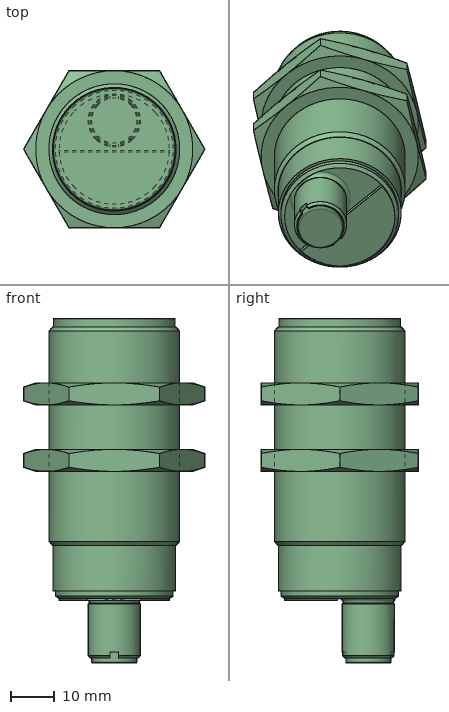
import cadquery as cq
import math

total_height = 79.0
barrel_dia = 30.0
barrel_bottom = 27.9
barrel_top = 76.1
thread_root_dia = 28.4
thread_chamfer = 0.95
cap_dia = 28.0
cap_rounding = 0.2
sleeve_dia = 28.2
sleeve_bottom = 16.5

plug_dia = 27.0
plug_chamfer_top = 15.3
plug_face = 14.8
plug_face_dia = 25.3
pad_height = 0.4
pad_edge_slope = 0.3
pad_edge_y = -0.3

connector_y = 6.55
connector_dia = 12.0
connector_shoulder = 13.5
neck_dia = 11.5
neck_bottom = connector_shoulder + (connector_dia - neck_dia) / 2
flare_radius = plug_face - neck_bottom
tip_dia = 10.35
tip_height = 1.1
tip_rounding = 0.2
connector_chamfer_top = 1.65
key_width = 2.05
key_top = 2.5

nut_across_flats = 36.0
nut_across_corners = nut_across_flats / math.cos(math.radians(30))
nut_height = 5.05
nut_corner_chamfer = 0.95
nut_pitch = 15.25
lower_nut_bottom = 43.9
nut_count = 2


def turned(profile):
    """Revolve (radius, z) points, closed along the axis, about Z."""
    points = [(0, profile[0][1]), *profile, (0, profile[-1][1])]
    return cq.Workplane("XZ").polyline(points).close().revolve(360, (0, 0, 0), (0, 1, 0))


def make_barrel():
    barrel_radius = barrel_dia / 2
    root_radius = thread_root_dia / 2
    barrel = turned(
        [
            (plug_face_dia / 2, plug_face),
            (plug_dia / 2, plug_chamfer_top),
            (plug_dia / 2, sleeve_bottom),
            (sleeve_dia / 2, sleeve_bottom),
            (sleeve_dia / 2, barrel_bottom - thread_chamfer),
            (root_radius, barrel_bottom - thread_chamfer),
            (barrel_radius, barrel_bottom),
            (barrel_radius, barrel_top),
            (root_radius, barrel_top + thread_chamfer),
            (cap_dia / 2, barrel_top + thread_chamfer),
            (cap_dia / 2, total_height),
        ]
    )
    return barrel.faces(">Z").edges().fillet(cap_rounding)


def make_pad():
    """Low raised pad on the -Y half of the plug face, with a sloped straight edge."""
    pad_radius = plug_face_dia / 2
    pad_bottom = plug_face - pad_height
    disc = cq.Workplane("XY").workplane(offset=pad_bottom).circle(pad_radius).extrude(pad_height)
    half = (
        cq.Workplane("YZ")
        .moveTo(pad_edge_y, plug_face)
        .lineTo(pad_edge_y - pad_edge_slope, pad_bottom)
        .lineTo(-pad_radius, pad_bottom)
        .lineTo(-pad_radius, plug_face)
        .close()
        .extrude(pad_radius, both=True)
    )
    return disc.intersect(half)


def make_key_slots():
    """Slots in the -Y and +Y sides of the connector, as deep as the tip is set back."""
    slot = cq.Workplane("XY").box(key_width, connector_dia, key_top, centered=(True, True, False))
    tip_core = cq.Workplane("XY").circle(tip_dia / 2).extrude(key_top)
    return slot.cut(tip_core)


def make_connector():
    connector = turned(
        [
            (tip_dia / 2, 0),
            (tip_dia / 2, tip_height),
            (connector_dia / 2 - (connector_chamfer_top - tip_height), tip_height),
            (connector_dia / 2, connector_chamfer_top),
            (connector_dia / 2, connector_shoulder),
            (neck_dia / 2, neck_bottom),
            (neck_dia / 2, plug_chamfer_top),
        ]
    )
    connector = connector.faces("<Z").edges().fillet(tip_rounding)
    return connector.cut(make_key_slots()).translate((0, connector_y, 0))


def make_neck_flare():
    """Concave flare from the connector neck to the plug face, kept within the face's rim."""
    neck_radius = neck_dia / 2
    arc_mid_offset = flare_radius * math.sqrt(0.5)
    arc_mid = (neck_radius + flare_radius - arc_mid_offset, neck_bottom + arc_mid_offset)
    flare = (
        cq.Workplane("XZ")
        .moveTo(0, neck_bottom)
        .lineTo(neck_radius, neck_bottom)
        .threePointArc(arc_mid, (neck_radius + flare_radius, plug_face))
        .lineTo(0, plug_face)
        .close()
        .revolve(360, (0, 0, 0), (0, 1, 0))
        .translate((0, connector_y, 0))
    )
    rim = cq.Workplane("XY").workplane(offset=neck_bottom).circle(plug_face_dia / 2).extrude(flare_radius)
    return flare.intersect(rim)


def make_nut(bottom):
    """Hexagon nut with corners along X, chamfered on both faces."""
    flat_radius = nut_across_flats / 2
    corner_radius = nut_across_corners / 2
    hexagon = cq.Workplane("XY").polygon(6, nut_across_corners).extrude(nut_height)
    chamfer_envelope = turned(
        [
            (flat_radius, 0),
            (corner_radius, nut_corner_chamfer),
            (corner_radius, nut_height - nut_corner_chamfer),
            (flat_radius, nut_height),
        ]
    )
    bore = cq.Workplane("XY").circle(barrel_dia / 2).extrude(nut_height)
    return hexagon.intersect(chamfer_envelope).cut(bore).translate((0, 0, bottom))


sensor = make_barrel().union(make_pad()).union(make_connector()).union(make_neck_flare())
nuts = [make_nut(lower_nut_bottom + i * nut_pitch) for i in range(nut_count)]

result = cq.Compound.makeCompound([sensor.val(), *[nut.val() for nut in nuts]])